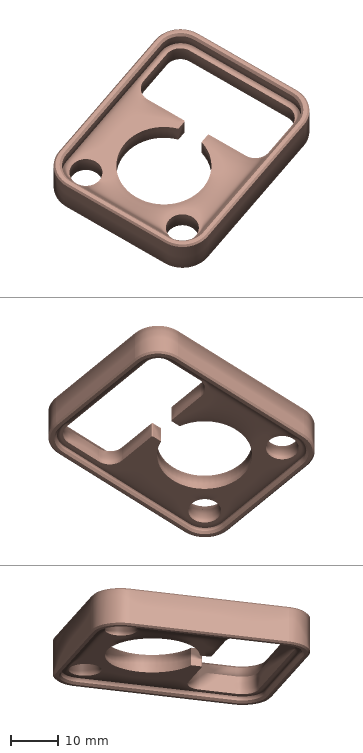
import cadquery as cq

width = 38.6
length = 48.6
height = 8.4
corner_radius = 6.5
outer_chamfer = 0.4

wall = 1.7
recess_radius = 5.0
rim_chamfer = 0.5
top_recess_depth = 3.0
plate_thickness = 4.0
plate_bottom = height - top_recess_depth - plate_thickness
plate_top = plate_bottom + plate_thickness

window_width = 32.45
window_top = 21.2
window_bottom = 5.65
window_radius = 3.5

opening_diameter = 20.2
opening_y = -6.5
slot_width = 6.05
slot_corner_radius = 0.3
selection_margin = 0.5

hole_diameter = 7.0
hole_spacing = 25.1
hole_y = -17.5


def rounded_block(size_x, size_y, size_z, radius, bottom):
    """Centred upright block with rounded vertical edges."""
    block = cq.Workplane("XY").workplane(offset=bottom).rect(size_x, size_y).extrude(size_z)
    return block.edges("|Z").fillet(radius)


def recess(bottom, depth):
    """Volume removed inside the perimeter wall."""
    return rounded_block(width - 2 * wall, length - 2 * wall, depth, recess_radius, bottom)


def plate_cutter():
    """Window, slot and round opening as one cutting volume."""
    window_length = window_top - window_bottom
    window_y = (window_top + window_bottom) / 2
    window = rounded_block(window_width, window_length, height, window_radius, 0)
    window = window.translate((0, window_y, 0))

    slot_length = window_y - opening_y
    slot = (
        cq.Workplane("XY")
        .center(0, opening_y + slot_length / 2)
        .rect(slot_width, slot_length)
        .extrude(height)
    )
    cutter = window.union(slot)
    half_slot = slot_width / 2
    slot_mouth = cq.selectors.BoxSelector(
        (-half_slot - selection_margin, window_bottom - selection_margin, 0),
        (half_slot + selection_margin, window_bottom + selection_margin, height),
    )
    cutter = cutter.edges("|Z").edges(slot_mouth).fillet(slot_corner_radius)

    opening = cq.Workplane("XY").center(0, opening_y).circle(opening_diameter / 2).extrude(height)
    return cutter.union(opening)


def hole_cutter():
    """Two round holes mirrored about the length axis."""
    centers = [(side * hole_spacing / 2, hole_y) for side in (-1, 1)]
    return cq.Workplane("XY").pushPoints(centers).circle(hole_diameter / 2).extrude(height)


body = rounded_block(width, length, height, corner_radius, 0)
body = body.faces("<Z or >Z").chamfer(outer_chamfer)

body = body.cut(recess(plate_top, top_recess_depth))
body = body.faces(">Z").wires(cq.selectors.LengthNthSelector(0)).chamfer(rim_chamfer)

body = body.cut(recess(0, plate_bottom))
body = body.faces("<Z").wires(cq.selectors.LengthNthSelector(0)).chamfer(rim_chamfer)

result = body.cut(plate_cutter()).cut(hole_cutter())